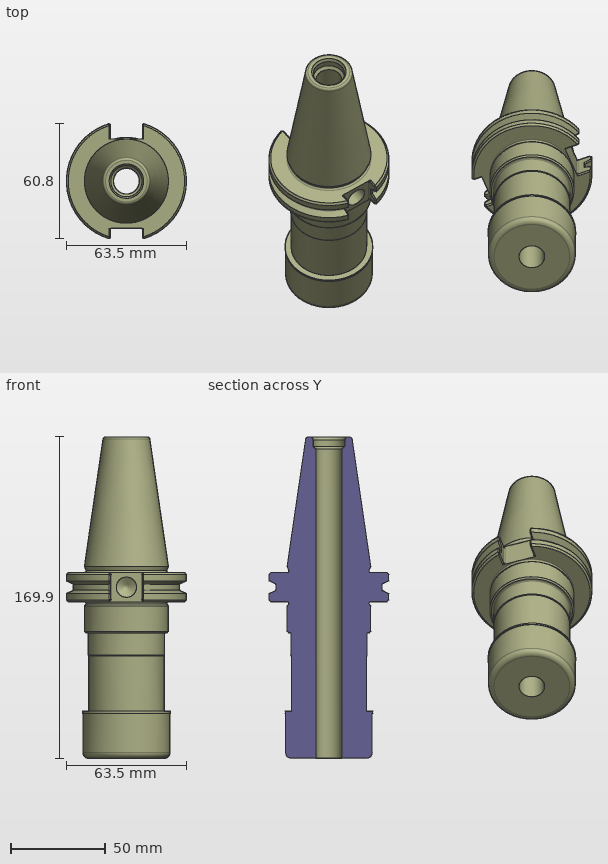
import cadquery as cq
import math

taper_top_z = 68.4
overall_length = 169.85
nose_z = taper_top_z - overall_length
flange_top_z = -3.2
flange_bottom_z = -18.8
groove_center_z = -11.0
collar_top_z = -20.9
collar_bottom_z = -35.1
body_step_z = -46.9
nut_top_z = -76.5
nut_rim_bottom_z = -77.6

gauge_diameter = 44.45
taper_ratio = 7 / 24
taper_top_diameter = gauge_diameter - taper_ratio * taper_top_z
neck_diameter = 42.6
flange_diameter = 63.5
groove_diameter = 56.25
collar_diameter = 44.45
upper_body_diameter = 40.5
lower_body_diameter = 40.0
nut_rim_diameter = 46.4
nut_diameter = 46.0

taper_top_radius = 1.4
neck_fillet = 0.95
flange_chamfer = 1.0
collar_chamfer = 0.8
collar_root_fillet = 0.4
body_step_height = 0.5
nut_nose_radius = 3.0

groove_floor_width = 3.3
groove_mouth_width = 6.6
groove_root_fillet = 0.4

bore_diameter = 13.53
entry_diameter = 16.5
mouth_diameter = 18.2
mouth_depth = 1.6
shoulder_depth = 5.0
shoulder_height = (entry_diameter - bore_diameter) / 2

slot_width = 16.9
front_slot_floor = 25.0
rear_slot_floor = 22.3
slot_corner_fillet = 0.5
slot_edge_chamfer = 0.7
drill_diameter = 10.7
drill_depth = 9.0
drill_point_angle = 118

pick_margin = 0.01


def revolve_profile(outline):
    """Revolve a closed (radius, height) outline around the Z axis."""
    return outline.close().revolve(360, (0, 0), (0, 1))


def fillet_midpoint(center_radius, center_z, size, side):
    """Middle of a concave quarter arc facing the axis, above (1) or below (-1) its center."""
    offset = size * math.sqrt(0.5)
    return (center_radius - offset, center_z + side * offset)


def taper():
    """7:24 cone with a rounded small end."""
    cone = revolve_profile(cq.Workplane("XZ").polyline([
        (0, taper_top_z),
        (taper_top_diameter / 2, taper_top_z),
        (gauge_diameter / 2, 0),
        (0, 0),
    ]))
    return cone.faces(">Z").edges().fillet(taper_top_radius)


def upper_neck():
    """Short cone narrowing below the gauge line, then flaring into the flange."""
    neck_radius = neck_diameter / 2
    flare_radius = neck_radius + neck_fillet
    flare_z = flange_top_z + neck_fillet
    return revolve_profile(
        cq.Workplane("XZ")
        .moveTo(0, 0)
        .lineTo(gauge_diameter / 2, 0)
        .lineTo(neck_radius, flare_z)
        .threePointArc(fillet_midpoint(flare_radius, flare_z, neck_fillet, -1), (flare_radius, flange_top_z))
        .lineTo(0, flange_top_z)
    )


def flange():
    flange_radius = flange_diameter / 2
    groove_radius = groove_diameter / 2
    floor_half = groove_floor_width / 2
    mouth_half = groove_mouth_width / 2
    return revolve_profile(cq.Workplane("XZ").polyline([
        (0, flange_top_z),
        (flange_radius - flange_chamfer, flange_top_z),
        (flange_radius, flange_top_z - flange_chamfer),
        (flange_radius, groove_center_z + mouth_half),
        (groove_radius, groove_center_z + floor_half),
        (groove_radius, groove_center_z - floor_half),
        (flange_radius, groove_center_z - mouth_half),
        (flange_radius, flange_bottom_z + flange_chamfer),
        (flange_radius - flange_chamfer, flange_bottom_z),
        (0, flange_bottom_z),
    ]))


def drive_slot(floor_distance, side):
    """Slot through the flange on the +Y (side = 1) or -Y (side = -1) side."""
    flange_height = flange_top_z - flange_bottom_z
    depth = flange_diameter / 2
    center = (0, side * (floor_distance + depth / 2), (flange_top_z + flange_bottom_z) / 2)
    return cq.Workplane("XY").box(slot_width, depth, flange_height).translate(center)


def slot_side_box(x, floor_distance, side):
    """Selector for the edges of one slot wall, leaving out the wall's root at the floor."""
    return cq.selectors.BoxSelector(
        (x - pick_margin, side * (floor_distance + pick_margin), flange_bottom_z - pick_margin),
        (x + pick_margin, side * flange_diameter, flange_top_z + pick_margin),
    )


def slotted_flange():
    body = flange()
    for floor_distance, side in ((front_slot_floor, -1), (rear_slot_floor, 1)):
        body = body.cut(drive_slot(floor_distance, side))
        for x in (-slot_width / 2, slot_width / 2):
            body = body.edges(slot_side_box(x, floor_distance, side)).chamfer(slot_edge_chamfer)
            root = cq.selectors.NearestToPointSelector((x, side * floor_distance, groove_center_z))
            body = body.edges("|Z").edges(root).fillet(slot_corner_fillet)
    root_radius = groove_diameter / 2
    roots = body.edges("%CIRCLE").filter(lambda edge: abs(edge.radius() - root_radius) < pick_margin)
    return roots.fillet(groove_root_fillet)


def collar_and_body():
    """Lower neck, collar and the stepped cylindrical body down to the nut."""
    neck_radius = neck_diameter / 2
    flare_radius = neck_radius + neck_fillet
    flare_z = flange_bottom_z - neck_fillet
    collar_radius = collar_diameter / 2
    upper_radius = upper_body_diameter / 2
    root_radius = upper_radius + collar_root_fillet
    root_z = collar_bottom_z - collar_root_fillet
    lower_radius = lower_body_diameter / 2
    return revolve_profile(
        cq.Workplane("XZ")
        .moveTo(0, flange_bottom_z)
        .lineTo(flare_radius, flange_bottom_z)
        .threePointArc(fillet_midpoint(flare_radius, flare_z, neck_fillet, 1), (neck_radius, flare_z))
        .lineTo(collar_radius, collar_top_z)
        .lineTo(collar_radius, collar_bottom_z + collar_chamfer)
        .lineTo(collar_radius - collar_chamfer, collar_bottom_z)
        .lineTo(root_radius, collar_bottom_z)
        .threePointArc(fillet_midpoint(root_radius, root_z, collar_root_fillet, 1), (upper_radius, root_z))
        .lineTo(upper_radius, body_step_z)
        .lineTo(lower_radius, body_step_z - body_step_height)
        .lineTo(lower_radius, nut_top_z)
        .lineTo(0, nut_top_z)
    )


def nut():
    rim_radius = nut_rim_diameter / 2
    nut_radius = nut_diameter / 2
    blank = revolve_profile(cq.Workplane("XZ").polyline([
        (0, nut_top_z),
        (rim_radius, nut_top_z),
        (rim_radius, nut_rim_bottom_z),
        (nut_radius, nut_rim_bottom_z),
        (nut_radius, nose_z),
        (0, nose_z),
    ]))
    return blank.faces("<Z").edges().fillet(nut_nose_radius)


def central_bore():
    bore_radius = bore_diameter / 2
    entry_radius = entry_diameter / 2
    shoulder_z = taper_top_z - shoulder_depth
    return revolve_profile(cq.Workplane("XZ").polyline([
        (0, taper_top_z),
        (mouth_diameter / 2, taper_top_z),
        (entry_radius, taper_top_z - mouth_depth),
        (entry_radius, shoulder_z),
        (bore_radius, shoulder_z - shoulder_height),
        (bore_radius, nose_z),
        (0, nose_z),
    ]))


def drilled_hole():
    """Blind hole with a conical tip, entering the front slot floor along +Y."""
    radius = drill_diameter / 2
    tip_length = radius / math.tan(math.radians(drill_point_angle / 2))
    hole = cq.Workplane("XY").polyline([
        (0, 0),
        (radius, 0),
        (radius, drill_depth),
        (0, drill_depth + tip_length),
    ]).close().revolve(360, (0, 0), (0, 1))
    return hole.translate((0, -front_slot_floor, groove_center_z))


result = (
    taper()
    .union(upper_neck())
    .union(slotted_flange())
    .union(collar_and_body())
    .union(nut())
    .cut(drilled_hole())
    .cut(central_bore())
)